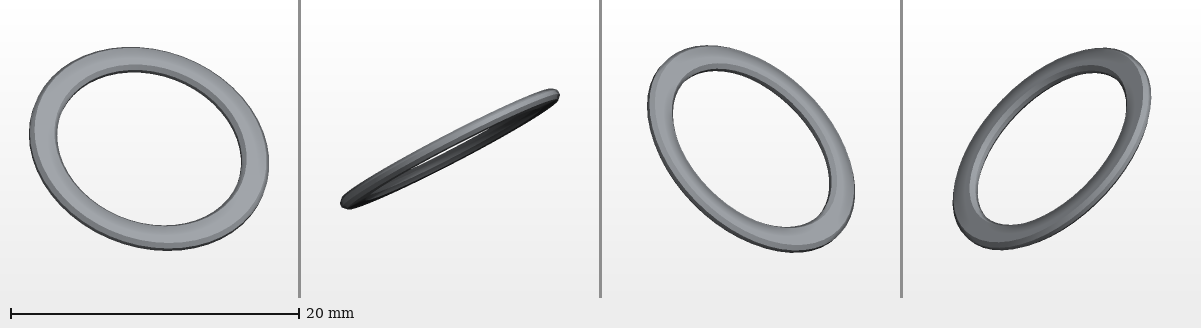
import cadquery as cq

outer_diameter = 17.05
bore_diameter = 13.15
thickness = 0.85
edge_chamfer = 0.27
tilt_angle = 40.0


def flat_ring():
    """Ring centred on the origin, with every circular edge chamfered."""
    ring = (
        cq.Workplane("XY", origin=(0, 0, -thickness / 2))
        .circle(outer_diameter / 2)
        .circle(bore_diameter / 2)
        .extrude(thickness)
    )
    return ring.faces("|Z").edges().chamfer(edge_chamfer)


result = flat_ring().rotate((0, 0, 0), (0, 1, 0), tilt_angle)